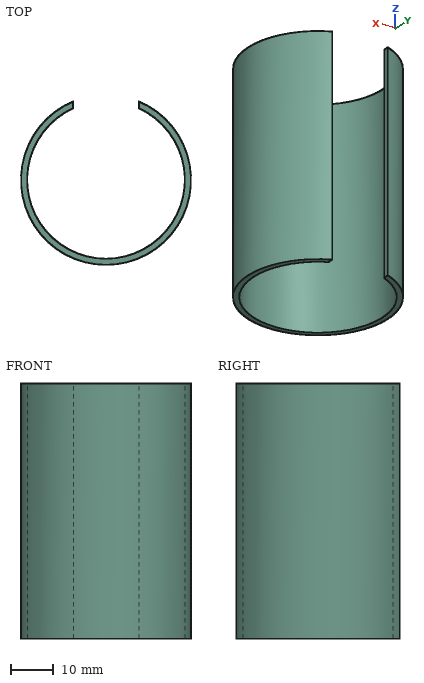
import cadquery as cq

OUTER_DIAMETER = 40.0
WALL_THICKNESS = 1.5
TUBE_LENGTH = 60.0
SLOT_WIDTH = 15.4

outer_radius = OUTER_DIAMETER / 2
inner_radius = outer_radius - WALL_THICKNESS


def make_tube():
    """Plain round tube standing on the XY plane, centred on the Z axis."""
    return (
        cq.Workplane("XY")
        .circle(outer_radius)
        .circle(inner_radius)
        .extrude(TUBE_LENGTH)
    )


def make_slot_cutter():
    """Parallel-sided block that opens the +Y wall over the full length."""
    return cq.Workplane("XY").box(
        SLOT_WIDTH, outer_radius, TUBE_LENGTH, centered=(True, False, False)
    )


result = make_tube().cut(make_slot_cutter())